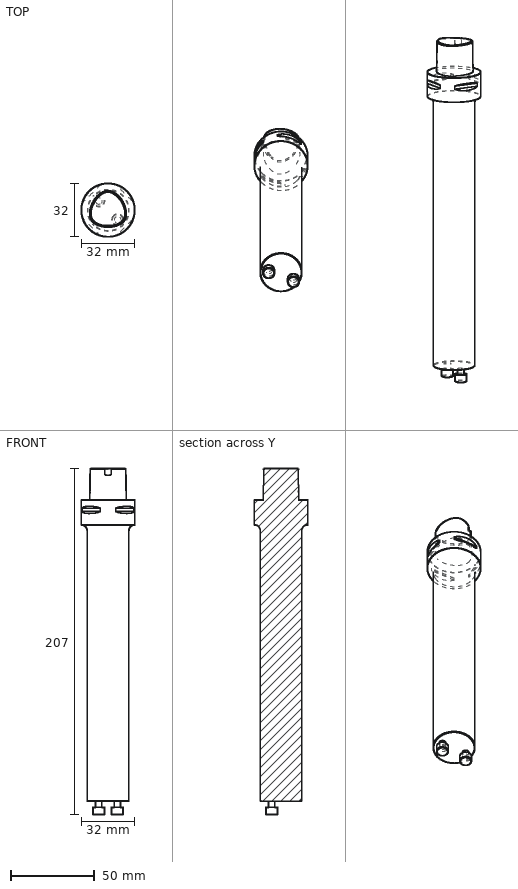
import cadquery as cq
import math

total_length = 207.0
body_bottom = 8.0
shank_length = 18.8
flange_height = 15.1
flange_top = total_length - shank_length
flange_bottom = flange_top - flange_height

flange_radius = 32.0 / 2
body_radius = 25.0 / 2
body_chamfer = 0.5
neck_fillet = 3.3
flange_chamfer = 0.2

shank_base_radius = 11.0
shank_taper = 1 / 80
shank_top_radius = shank_base_radius - shank_length * shank_taper
lobe_offset = 0.7
shank_chamfer = 0.6

notch_width = 4.1
notch_depth = 4.1
notch_floor_y = -9.0
notch_corner_radius = 1.2

groove_count = 4
groove_below_flange_top = 6.0
groove_floor_distance = 14.0
groove_bevel_depth = 0.8
groove_floor_height = 1.9
groove_bevel_height = 3.3
groove_mouth_height = 4.3

screw_offset = 5.5
screw_shank_radius = 4.0 / 2
screw_head_radius = 7.0 / 2
screw_head_height = 4.5
screw_head_chamfer = 0.5


def lobed_point(mean_radius, angle):
    """Point on the three-lobed polygon curve, with one lobe towards +Y."""
    x = (mean_radius * math.sin(angle) + 2 * lobe_offset * math.sin(2 * angle)
         + lobe_offset * math.sin(4 * angle))
    y = (-mean_radius * math.cos(angle) + 2 * lobe_offset * math.cos(2 * angle)
         - lobe_offset * math.cos(4 * angle))
    return x, y


def lobed_section(bottom, height, bottom_radius, top_radius):
    """Solid with a three-lobed section, tapering from bottom to top."""
    points_per_turn = 36
    angles = [2 * math.pi * i / points_per_turn for i in range(points_per_turn)]
    lower = [lobed_point(bottom_radius, a) for a in angles]
    upper = [lobed_point(top_radius, a) for a in angles]
    return (
        cq.Workplane("XY").workplane(offset=bottom).spline(lower, periodic=True).close()
        .workplane(offset=height).spline(upper, periodic=True).close()
        .loft(ruled=True, combine=True)
    )


def make_body():
    """Turned body with a filleted neck under the flange."""
    fillet_centre_radius = body_radius + neck_fillet
    fillet_start = flange_bottom - neck_fillet
    arc_drop = neck_fillet * math.sqrt(0.5)
    profile = (
        cq.Workplane("XZ")
        .moveTo(0, body_bottom)
        .lineTo(body_radius - body_chamfer, body_bottom)
        .lineTo(body_radius, body_bottom + body_chamfer)
        .lineTo(body_radius, fillet_start)
        .threePointArc((fillet_centre_radius - arc_drop, fillet_start + arc_drop),
                       (fillet_centre_radius, flange_bottom))
        .lineTo(flange_radius, flange_bottom + flange_chamfer)
        .lineTo(flange_radius, flange_top - flange_chamfer)
        .lineTo(flange_radius - flange_chamfer, flange_top)
        .lineTo(0, flange_top)
        .close()
    )
    return profile.revolve(360, (0, 0, 0), (0, 1, 0))


def make_shank():
    """Tapered lobed shank with a chamfered rim and an orientation notch."""
    chamfer_start = total_length - shank_chamfer
    shank = lobed_section(flange_top, shank_length - shank_chamfer, shank_base_radius, shank_top_radius)
    rim = lobed_section(chamfer_start, shank_chamfer, shank_top_radius, shank_top_radius - shank_chamfer)
    shank = shank.union(rim)

    notch = (
        cq.Workplane("XZ", origin=(0, notch_floor_y, total_length))
        .rect(notch_width, 2 * notch_depth)
        .extrude(shank_base_radius)
        .edges("|Y").fillet(notch_corner_radius)
    )
    return shank.cut(notch)


def make_groove():
    """Straight groove with sloping walls and a bevelled floor, cut across the +X side of the flange."""
    middle = flange_top - groove_below_flange_top
    bevel_end = groove_floor_distance + groove_bevel_depth
    profile = [
        (groove_floor_distance, middle - groove_floor_height / 2),
        (bevel_end, middle - groove_bevel_height / 2),
        (flange_radius, middle - groove_mouth_height / 2),
        (flange_radius, middle + groove_mouth_height / 2),
        (bevel_end, middle + groove_bevel_height / 2),
        (groove_floor_distance, middle + groove_floor_height / 2),
    ]
    return cq.Workplane("XZ").polyline(profile).close().extrude(flange_radius, both=True)


def make_screw(x, y):
    """Screw below the body, with its chamfered head at the bottom."""
    head = (
        cq.Workplane("XY", origin=(x, y, 0))
        .circle(screw_head_radius)
        .extrude(screw_head_height)
        .faces("<Z").chamfer(screw_head_chamfer)
    )
    shank = cq.Workplane("XY", origin=(x, y, 0)).circle(screw_shank_radius).extrude(body_bottom)
    return head.union(shank)


result = make_body().union(make_shank())

for i in range(groove_count):
    groove_angle = 45 + i * 360 / groove_count
    result = result.cut(make_groove().rotate((0, 0, 0), (0, 0, 1), groove_angle))

for side in (-1, 1):
    result = result.union(make_screw(side * screw_offset, -side * screw_offset))